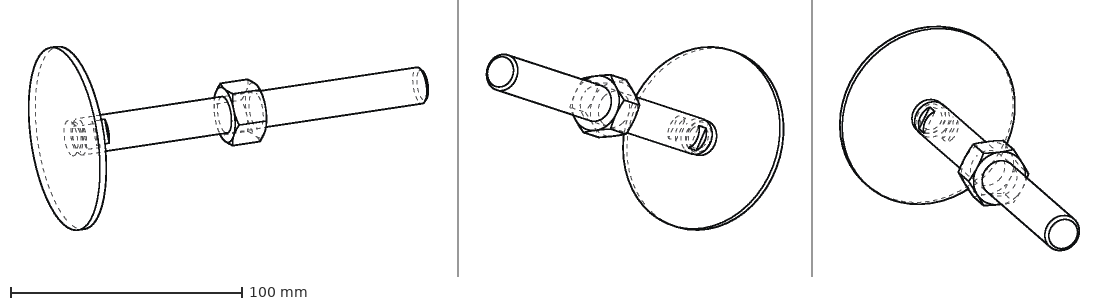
import cadquery as cq
import math

TOTAL_LENGTH = 168.0

PLATE_DIAMETER = 80.0
PLATE_THICKNESS = 3.0
BOSS_BASE_RADIUS = 7.7
BOSS_HEIGHT = 2.7
BOSS_TOP_RADIUS = BOSS_BASE_RADIUS - BOSS_HEIGHT

SPINDLE_DIAMETER = 16.0
SPINDLE_RADIUS = SPINDLE_DIAMETER / 2
SPINDLE_START = PLATE_THICKNESS + BOSS_HEIGHT
LOWER_CHAMFER = 1.3
UPPER_CHAMFER = 1.3

FLATS_START = 11.8
FLATS_LENGTH = 6.0
FLATS_ACROSS = 12.0
FLATS_ANGLE = 28.0

NUT_SIDES = 6
NUT_START = 75.1
NUT_HEIGHT = 14.8
NUT_ACROSS_FLATS = 24.0
NUT_CHAMFER_ANGLE = 30.0


def revolve_about_y(profile):
    """Revolve a closed profile of (radius, y) points around the Y axis."""
    return cq.Workplane("XY").polyline(profile).close().revolve(360, (0, 0), (0, 1))


def make_foot():
    return revolve_about_y([
        (0, 0),
        (PLATE_DIAMETER / 2, 0),
        (PLATE_DIAMETER / 2, PLATE_THICKNESS),
        (BOSS_BASE_RADIUS, PLATE_THICKNESS),
        (BOSS_TOP_RADIUS, SPINDLE_START),
        (0, SPINDLE_START),
    ])


def make_flat_cutter(angle):
    """Block that removes the spindle outside one wrench flat."""
    block = cq.Workplane("XY").box(
        SPINDLE_RADIUS, FLATS_LENGTH, 2 * SPINDLE_RADIUS, centered=(False, False, True)
    )
    block = block.translate((FLATS_ACROSS / 2, FLATS_START, 0))
    return block.rotate((0, 0, 0), (0, 1, 0), -angle)


def make_spindle():
    spindle = revolve_about_y([
        (0, SPINDLE_START),
        (SPINDLE_RADIUS - LOWER_CHAMFER, SPINDLE_START),
        (SPINDLE_RADIUS, SPINDLE_START + LOWER_CHAMFER),
        (SPINDLE_RADIUS, TOTAL_LENGTH - UPPER_CHAMFER),
        (SPINDLE_RADIUS - UPPER_CHAMFER, TOTAL_LENGTH),
        (0, TOTAL_LENGTH),
    ])
    for angle in (FLATS_ANGLE, FLATS_ANGLE + 180):
        spindle = spindle.cut(make_flat_cutter(angle))
    return spindle


def make_nut():
    flat_radius = NUT_ACROSS_FLATS / 2
    corner_radius = flat_radius / math.cos(math.pi / NUT_SIDES)
    chamfer_drop = (corner_radius - flat_radius) * math.tan(math.radians(NUT_CHAMFER_ANGLE))
    nut_end = NUT_START + NUT_HEIGHT

    hexagon = (
        cq.Workplane("XZ", origin=(0, NUT_START, 0))
        .polygon(NUT_SIDES, 2 * corner_radius)
        .extrude(-NUT_HEIGHT)
    )
    chamfered_ring = revolve_about_y([
        (SPINDLE_RADIUS, NUT_START),
        (flat_radius, NUT_START),
        (corner_radius, NUT_START + chamfer_drop),
        (corner_radius, nut_end - chamfer_drop),
        (flat_radius, nut_end),
        (SPINDLE_RADIUS, nut_end),
    ])
    return hexagon.intersect(chamfered_ring)


foot = make_foot()
spindle = make_spindle()
nut = make_nut()

result = cq.Compound.makeCompound([foot.solids().val(), spindle.solids().val(), nut.solids().val()])